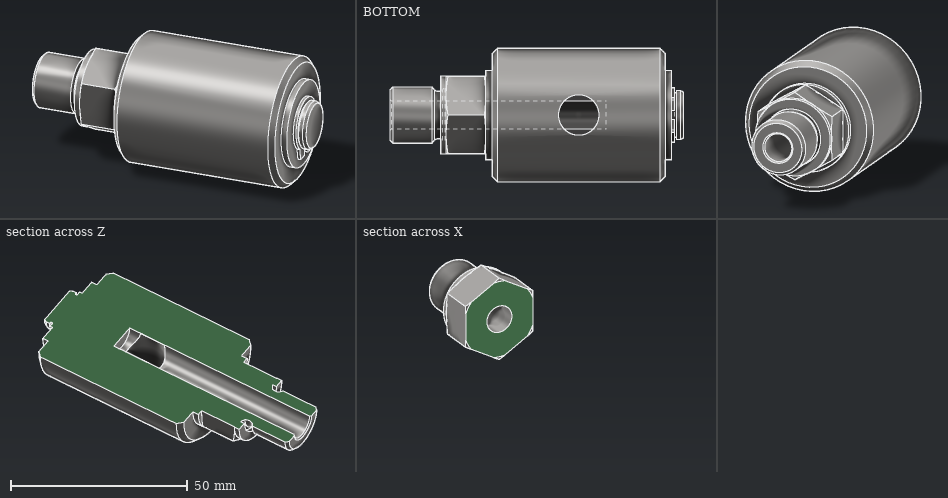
import cadquery as cq
import math


thread_dia = 16.0
thread_root_dia = 14.25
thread_end = 12.0
thread_chamfer = (thread_dia - thread_root_dia) / 2
neck_slope_length = 0.65
neck_dia = 13.5
neck_end_depth = 0.6

flange_dia = 22.2
flange_start = 14.4
recess_dia = 16.5
recess_depth = neck_end_depth + neck_slope_length

hex_across_flats = 22.0
hex_across_corners = hex_across_flats * 2 / math.sqrt(3)
hex_start = 16.0
hex_end = 27.15
hex_front_chamfer_length = 0.5
hex_rear_chamfer_length = 0.35

collar_dia = 25.4
body_dia = 38.0
body_start = 29.0
body_end = 78.1
body_chamfer = 1.55
rear_collar_end = 79.85

shaft_dia = 13.99
groove_dia = 12.7
groove_end = 81.2
shaft_chamfer_length = 0.95
shaft_chamfer_depth = 0.5
total_length = 83.3

ring_end = 80.7
ring_dia = 15.5
ring_offset = 0.25
ring_gap = 2.6
lug_reach = 9.25
lug_top = 5.8
lug_top_half_width = 4.9
lug_tip_half_width = 4.2

bore_dia = 8.0
bore_chamfer = 0.43
port_dia = 11.445
port_x = (body_start + body_end) / 2
bore_past_port = 2.0
bore_end = port_x + port_dia / 2 + bore_past_port


def cylinder(diameter, start, end):
    return cq.Workplane("YZ").workplane(offset=start).circle(diameter / 2).extrude(end - start)


def make_thread_end():
    """Chamfered thread blank, the concave neck and the cone rising to the flange recess wall."""
    neck_start = thread_end + neck_slope_length
    neck_end = flange_start + neck_end_depth
    neck_middle = (neck_start + neck_end) / 2
    recess_floor = flange_start + recess_depth
    return (
        cq.Workplane("XY")
        .moveTo(0, 0)
        .lineTo(0, thread_root_dia / 2)
        .lineTo(thread_chamfer, thread_dia / 2)
        .lineTo(thread_end, thread_dia / 2)
        .lineTo(neck_start, thread_root_dia / 2)
        .threePointArc((neck_middle, neck_dia / 2), (neck_end, thread_root_dia / 2))
        .lineTo(recess_floor, recess_dia / 2)
        .lineTo(recess_floor, 0)
        .close()
        .revolve(360, (0, 0, 0), (1, 0, 0))
    )


def make_flange():
    flange = cylinder(flange_dia, flange_start, hex_start)
    return flange.cut(cylinder(recess_dia, flange_start, flange_start + recess_depth))


def make_hexagon():
    """Hexagonal prism whose corners are turned down conically at both ends."""
    prism = (
        cq.Workplane("YZ")
        .workplane(offset=hex_start)
        .polygon(6, hex_across_corners)
        .extrude(hex_end - hex_start)
        .rotate((0, 0, 0), (1, 0, 0), 90)
    )
    turned = (
        cq.Workplane("XY")
        .moveTo(hex_start, 0)
        .lineTo(hex_start, flange_dia / 2)
        .lineTo(hex_start + hex_front_chamfer_length, hex_across_corners / 2)
        .lineTo(hex_end - hex_rear_chamfer_length, hex_across_corners / 2)
        .lineTo(hex_end, flange_dia / 2)
        .lineTo(hex_end, 0)
        .close()
        .revolve(360, (0, 0, 0), (1, 0, 0))
    )
    return prism.intersect(turned)


def make_body():
    body = cylinder(body_dia, body_start, body_end).edges().chamfer(body_chamfer)
    front_collar = cylinder(collar_dia, hex_end, body_start)
    rear_collar = cylinder(collar_dia, body_end, rear_collar_end)
    return body.union(front_collar).union(rear_collar)


def make_shaft_end():
    """Grooved shaft stub with a tapered tip."""
    return (
        cq.Workplane("XY")
        .moveTo(rear_collar_end, 0)
        .lineTo(rear_collar_end, groove_dia / 2)
        .lineTo(groove_end, groove_dia / 2)
        .lineTo(groove_end, shaft_dia / 2)
        .lineTo(total_length - shaft_chamfer_length, shaft_dia / 2)
        .lineTo(total_length, shaft_dia / 2 - shaft_chamfer_depth)
        .lineTo(total_length, 0)
        .close()
        .revolve(360, (0, 0, 0), (1, 0, 0))
    )


def make_retaining_ring():
    """Eccentric ring with two lugs and a gap between them, pointing to -Z."""
    thickness = ring_end - rear_collar_end
    ring = cylinder(ring_dia, rear_collar_end, ring_end).translate((0, 0, ring_offset))
    lugs = (
        cq.Workplane("YZ")
        .workplane(offset=rear_collar_end)
        .moveTo(-lug_top_half_width, -lug_top)
        .lineTo(lug_top_half_width, -lug_top)
        .lineTo(lug_tip_half_width, -lug_reach)
        .lineTo(-lug_tip_half_width, -lug_reach)
        .close()
        .extrude(thickness)
    )
    gap = (
        cq.Workplane("YZ")
        .workplane(offset=rear_collar_end)
        .center(0, -lug_reach / 2)
        .rect(ring_gap, lug_reach)
        .extrude(thickness)
    )
    return ring.union(lugs).cut(gap)


def make_bore():
    """Blind axial bore with a chamfered mouth, passing the side port."""
    return (
        cq.Workplane("XY")
        .moveTo(0, 0)
        .lineTo(0, bore_dia / 2 + bore_chamfer)
        .lineTo(bore_chamfer, bore_dia / 2)
        .lineTo(bore_end, bore_dia / 2)
        .lineTo(bore_end, 0)
        .close()
        .revolve(360, (0, 0, 0), (1, 0, 0))
    )


def make_port():
    """Side port entering from -Z and reaching the axis."""
    return cq.Workplane("XY").center(port_x, 0).circle(port_dia / 2).extrude(-body_dia / 2)


result = (
    make_thread_end()
    .union(make_flange())
    .union(make_hexagon())
    .union(make_body())
    .union(make_retaining_ring())
    .union(make_shaft_end())
    .cut(make_bore())
    .cut(make_port())
)